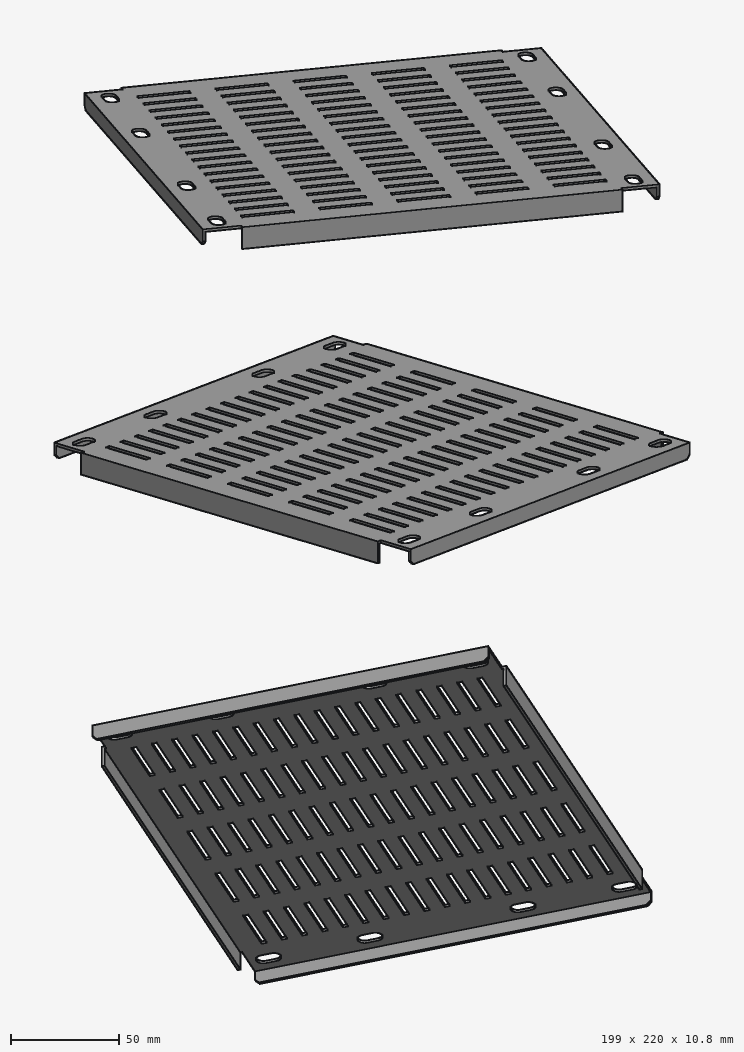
import cadquery as cq

WIDTH = 199.0
LENGTH = 220.0
HEIGHT = 10.8

THICKNESS = 1.4

RELIEF_WIDTH = 2.2
RELIEF_LENGTH = 18.5

END_FLANGE_HEIGHT = 8.0
END_FLANGE_CHAMFER = 2.0

VENT_LENGTH = 25.0
VENT_BAR_WIDTH = 7.5
VENT_COLUMNS = 18
VENT_ROWS = 5
VENT_SPAN_X = 170.3
VENT_SPAN_Y = 150.5

MOUNT_LENGTH = 12.0
MOUNT_WIDTH = 6.8
MOUNT_X = (37.6, 87.5)
MOUNT_Y = 100.3

panel_width = WIDTH - 2 * RELIEF_WIDTH
side_flange_length = LENGTH - 2 * RELIEF_LENGTH
vent_pitch_x = VENT_SPAN_X / (VENT_COLUMNS - 1)
vent_pitch_y = VENT_SPAN_Y / (VENT_ROWS - 1)
vent_width = vent_pitch_x - VENT_BAR_WIDTH


def channel(width, height, run):
    """Sheet along Y whose two long edges are bent down square to the given height."""
    outside = cq.Workplane("XY").box(width, run, height).translate((0, 0, -height / 2))
    inside = cq.Workplane("XY").box(width - 2 * THICKNESS, run, height)
    return outside.cut(inside.translate((0, 0, -THICKNESS - height / 2)))


def side_channel():
    return channel(WIDTH, HEIGHT, side_flange_length)


def end_channel():
    sheet = channel(LENGTH, END_FLANGE_HEIGHT, panel_width)
    sheet = sheet.faces("<Z").edges("|X").chamfer(END_FLANGE_CHAMFER)
    return sheet.rotate((0, 0, 0), (0, 0, 1), 90)


def vent_slots():
    return (
        cq.Workplane("XY")
        .rarray(vent_pitch_x, vent_pitch_y, VENT_COLUMNS, VENT_ROWS)
        .rect(vent_width, VENT_LENGTH)
        .extrude(-THICKNESS)
    )


def mount_slots():
    centres = [(sx * x, sy * MOUNT_Y) for x in MOUNT_X for sx in (-1, 1) for sy in (-1, 1)]
    return cq.Workplane("XY").pushPoints(centres).slot2D(MOUNT_LENGTH, MOUNT_WIDTH).extrude(-THICKNESS)


result = side_channel().union(end_channel()).cut(vent_slots()).cut(mount_slots())